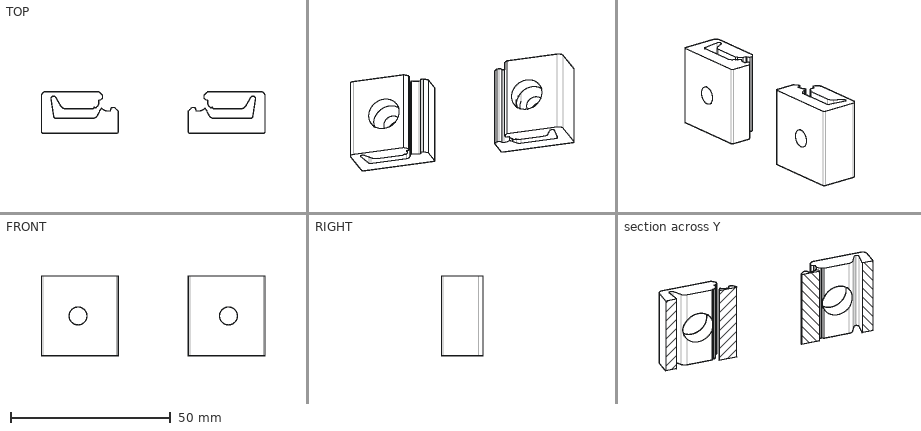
import cadquery as cq
import math

overall_length = 70.0
clip_width = 24.1
clip_depth = 13.1
clip_height = 25.0

back_corner_radius = 1.5
front_corner_radius = 0.55

base_thickness = 4.75
tongue_face_y = 7.6
slot_end_y = 11.6
slot_end_x = 2.95
slot_end_width = 1.3
slot_end_radius = 0.7
slot_foot_x = 4.0
slot_foot_radius = 0.55
ramp_angle = 60.0
tongue_root_radius = 2.0
ramp_foot_radius = 1.5

ridge_face_x = 18.1
ridge_face_y = 7.0
ridge_face_length = 0.3
ridge_tip_offset = 0.7
channel_floor_y = 7.0
channel_radius = 3.0
channel_sweep = 45.0
lip_face_x = 21.6
lip_top_y = 8.1
lip_radius = 0.7
lip_chamfer = 1.2

latch_face_x = 18.0
nose_length = 1.2
nose_front_y = 11.05
nose_underside_y = 10.4
barb_start_y = 9.2
barb_tip = (16.95, 7.9)
barb_radius = 3.0
barb_back = (16.6, 8.1)

screw_hole_x = 11.5
screw_hole_diameter = 5.5
access_hole_diameter = 10.0


def clip_profile():
    """Closed outline with sharp slot and outer corners, left outer corner at the origin."""
    ramp_slope = math.tan(math.radians(ramp_angle))
    ridge_face_bottom = ridge_face_y - ridge_face_length
    ramp_foot_x = ridge_face_x - (ridge_face_bottom - base_thickness) / ramp_slope
    slot_back_x = slot_end_x + slot_end_width
    tongue_root_x = slot_back_x + (slot_end_y - tongue_face_y) / ramp_slope

    sweep = math.radians(channel_sweep)
    ridge_tip_x = ridge_face_x + ridge_tip_offset
    ridge_tip_y = channel_floor_y + channel_radius * (1 - math.cos(sweep))
    channel_end_x = ridge_tip_x + channel_radius * math.sin(sweep)
    channel_mid = (
        channel_end_x - channel_radius * math.sin(sweep / 2),
        channel_floor_y + channel_radius * (1 - math.cos(sweep / 2)),
    )

    nose_tip_x = latch_face_x + nose_length
    nose_root_x = nose_tip_x - (nose_front_y - nose_underside_y)
    tongue_face_end_x = barb_back[0] - (barb_back[1] - tongue_face_y)

    profile = (
        cq.Workplane("XY")
        .moveTo(0, 0)
        .lineTo(clip_width, 0)
        .lineTo(clip_width, lip_top_y - lip_chamfer)
        .lineTo(clip_width - lip_chamfer, lip_top_y)
        .lineTo(lip_face_x, lip_top_y)
        .lineTo(lip_face_x, channel_floor_y)
        .lineTo(channel_end_x, channel_floor_y)
        .threePointArc(channel_mid, (ridge_tip_x, ridge_tip_y))
        .lineTo(ridge_face_x, ridge_face_y)
        .lineTo(ridge_face_x, ridge_face_bottom)
        .lineTo(ramp_foot_x, base_thickness)
        .lineTo(slot_foot_x, base_thickness)
        .lineTo(slot_end_x, slot_end_y)
        .lineTo(slot_back_x, slot_end_y)
        .lineTo(tongue_root_x, tongue_face_y)
        .lineTo(tongue_face_end_x, tongue_face_y)
        .lineTo(*barb_back)
        .lineTo(*barb_tip)
        .radiusArc((latch_face_x, barb_start_y), -barb_radius)
        .lineTo(latch_face_x, nose_underside_y)
        .lineTo(nose_root_x, nose_underside_y)
        .lineTo(nose_tip_x, nose_front_y)
        .lineTo(nose_tip_x, clip_depth - nose_length)
        .lineTo(latch_face_x, clip_depth)
        .lineTo(0, clip_depth)
        .close()
    )
    rounded_corners = [
        ((0, 0), front_corner_radius),
        ((clip_width, 0), front_corner_radius),
        ((0, clip_depth), back_corner_radius),
        ((lip_face_x, lip_top_y), lip_radius),
        ((ramp_foot_x, base_thickness), ramp_foot_radius),
        ((slot_foot_x, base_thickness), slot_foot_radius),
        ((slot_end_x, slot_end_y), slot_end_radius),
        ((slot_back_x, slot_end_y), slot_end_radius),
        ((tongue_root_x, tongue_face_y), tongue_root_radius),
    ]
    return profile, rounded_corners


def hole_cutter(diameter, start_y, end_y):
    """Cylinder along Y on the screw axis."""
    return (
        cq.Workplane("XZ", origin=(screw_hole_x, start_y, clip_height / 2))
        .circle(diameter / 2)
        .extrude(start_y - end_y)
    )


def make_clip():
    """Left-hand clip, with its left outer corner at the origin."""
    profile, rounded_corners = clip_profile()
    clip = profile.extrude(clip_height)
    for (x, y), radius in rounded_corners:
        corner_edge = cq.selectors.NearestToPointSelector((x, y, clip_height / 2))
        clip = clip.edges("|Z").edges(corner_edge).fillet(radius)
    clip = clip.cut(hole_cutter(screw_hole_diameter, 0, base_thickness))
    return clip.cut(hole_cutter(access_hole_diameter, base_thickness, clip_depth))


left_clip = make_clip().translate((-overall_length / 2, -clip_depth / 2, -clip_height / 2))
right_clip = left_clip.mirror("YZ")

result = cq.Compound.makeCompound([left_clip.val(), right_clip.val()])